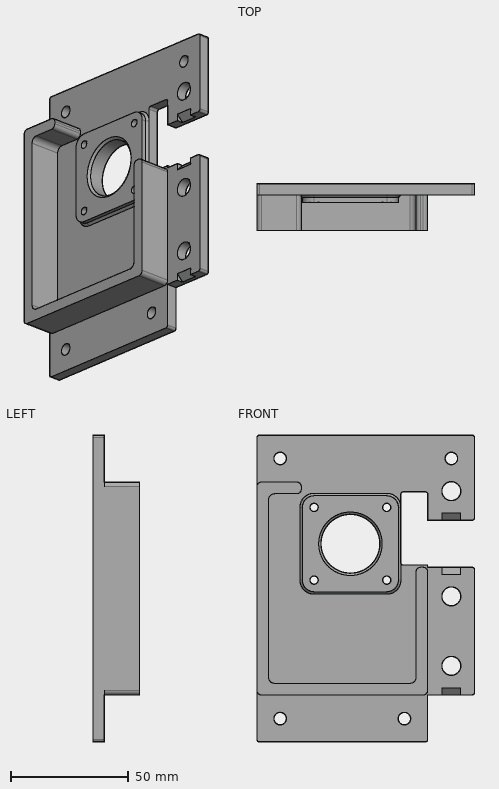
import cadquery as cq

PLATE_HEIGHT = 131.0
PLATE_WIDTH = 93.0
BODY_WIDTH = 73.0
PLATE_THICKNESS = 5.0
OUTER_RADIUS = 1.0
MOUNT_INSET = 10.0
MOUNT_DIAMETER = 5.2

MOTOR_X = 40.0
MOTOR_Z = 84.6
PAD_SIZE = 41.0
PAD_HEIGHT = 3.0
PAD_RADIUS = 5.0
FOOT_FLARE = 1.0
BORE_DIAMETER = 25.0
BORE_CHAMFER = 1.0
SCREW_SPACING = 31.0
SCREW_DIAMETER = 3.4

WALL_HEIGHT = 15.0
WALL_THICKNESS = 5.0
WALL_INSET = 20.0
WALL_RADIUS = 2.0
POCKET_RADIUS = 2.6
TOP_WALL_LENGTH = 19.0

SLOT_HEIGHT = 20.0
WINDOW_BOTTOM = 75.6
WINDOW_TOP = 106.8

EAR_HOLE_DIAMETER = 8.0
EAR_HOLE_EDGE = 12.5
BEVEL_LENGTH = 3.0

FOOT_SIZE = PAD_SIZE + 2 * FOOT_FLARE
WINDOW_LEFT = MOTOR_X + FOOT_SIZE / 2
PLATE_FRONT = -PLATE_THICKNESS
SLOT_BOTTOM = MOTOR_Z - SLOT_HEIGHT / 2
SLOT_TOP = MOTOR_Z + SLOT_HEIGHT / 2
WALL_BOTTOM = WALL_INSET
WALL_TOP = PLATE_HEIGHT - WALL_INSET
EAR_BOTTOM = WALL_BOTTOM
EAR_HOLE_X = PLATE_WIDTH - MOUNT_INSET
RIGHT_WALL_TOP = SLOT_BOTTOM


def front_plane(y=0.0):
    """Sketch plane at depth y; local axes are X and Z, extrusion goes to -Y."""
    return cq.Workplane("XZ", origin=(0, y, 0))


def holes(points, diameter):
    """Cutters through the plate and pad at (x, z) points."""
    return front_plane().pushPoints(points).circle(diameter / 2).extrude(PLATE_THICKNESS + PAD_HEIGHT)


def round_corners(solid, points, radius):
    """Round the Y-direction edges that stand at the given (x, z) points."""
    tolerance = 0.01
    for x, z in points:
        selector = cq.selectors.BoxSelector(
            (x - tolerance, -PLATE_HEIGHT, z - tolerance),
            (x + tolerance, PLATE_HEIGHT, z + tolerance),
        )
        solid = solid.edges("|Y").edges(selector).fillet(radius)
    return solid


def make_plate():
    outline = [
        (0, 0),
        (BODY_WIDTH, 0),
        (BODY_WIDTH, EAR_BOTTOM),
        (PLATE_WIDTH, EAR_BOTTOM),
        (PLATE_WIDTH, SLOT_BOTTOM),
        (BODY_WIDTH, SLOT_BOTTOM),
        (BODY_WIDTH, WINDOW_BOTTOM),
        (WINDOW_LEFT, WINDOW_BOTTOM),
        (WINDOW_LEFT, WINDOW_TOP),
        (BODY_WIDTH, WINDOW_TOP),
        (BODY_WIDTH, SLOT_TOP),
        (PLATE_WIDTH, SLOT_TOP),
        (PLATE_WIDTH, PLATE_HEIGHT),
        (0, PLATE_HEIGHT),
    ]
    sharp = [
        (BODY_WIDTH, EAR_BOTTOM),
        (BODY_WIDTH, SLOT_BOTTOM),
        (BODY_WIDTH, WINDOW_BOTTOM),
        (BODY_WIDTH, SLOT_TOP),
    ]
    plate = front_plane().polyline(outline).close().extrude(PLATE_THICKNESS)
    return round_corners(plate, [p for p in outline if p not in sharp], OUTER_RADIUS)


def make_wall():
    inner_left = WALL_THICKNESS
    inner_right = BODY_WIDTH - WALL_THICKNESS
    inner_bottom = WALL_BOTTOM + WALL_THICKNESS
    inner_top = WALL_TOP - WALL_THICKNESS
    pocket_corners = [
        (inner_right, inner_bottom),
        (inner_left, inner_bottom),
        (inner_left, inner_top),
    ]
    outer_corners = [
        (TOP_WALL_LENGTH, inner_top),
        (TOP_WALL_LENGTH, WALL_TOP),
        (0, WALL_TOP),
        (0, WALL_BOTTOM),
        (BODY_WIDTH, WALL_BOTTOM),
        (BODY_WIDTH, RIGHT_WALL_TOP),
        (inner_right, RIGHT_WALL_TOP),
    ]
    wall = front_plane(PLATE_FRONT).polyline(pocket_corners + outer_corners).close().extrude(WALL_HEIGHT)
    wall = round_corners(wall, pocket_corners, POCKET_RADIUS)
    return round_corners(wall, outer_corners, WALL_RADIUS)


def make_pad():
    foot_outline = cq.Sketch().rect(FOOT_SIZE, FOOT_SIZE).vertices().fillet(PAD_RADIUS + FOOT_FLARE)
    pad_outline = cq.Sketch().rect(PAD_SIZE, PAD_SIZE).vertices().fillet(PAD_RADIUS)
    base = front_plane(PLATE_FRONT).center(MOTOR_X, MOTOR_Z)
    foot = base.placeSketch(foot_outline).extrude(FOOT_FLARE, taper=45)
    pad = base.placeSketch(pad_outline).extrude(PAD_HEIGHT)
    return pad.union(foot)


def make_bore():
    pad_front = PLATE_FRONT - PAD_HEIGHT
    radius = BORE_DIAMETER / 2
    mouth = radius + BORE_CHAMFER
    section = [(0, 0), (radius, 0), (radius, pad_front + BORE_CHAMFER), (mouth, pad_front), (0, pad_front)]
    profile = cq.Workplane("XY", origin=(MOTOR_X, 0, MOTOR_Z)).polyline(section).close()
    return profile.revolve(360, (0, 0), (0, 1))


def make_bevel(edge_z, inward):
    """45-degree cut at the front of an ear edge; inward is the Z direction into the ear."""
    triangle = [
        (PLATE_FRONT, edge_z),
        (PLATE_FRONT, edge_z + inward * BEVEL_LENGTH),
        (PLATE_FRONT + BEVEL_LENGTH, edge_z),
    ]
    left = EAR_HOLE_X - EAR_HOLE_DIAMETER / 2
    return cq.Workplane("YZ", origin=(left, 0, 0)).polyline(triangle).close().extrude(EAR_HOLE_DIAMETER)


mount_points = [
    (MOUNT_INSET, MOUNT_INSET),
    (BODY_WIDTH - MOUNT_INSET, MOUNT_INSET),
    (MOUNT_INSET, PLATE_HEIGHT - MOUNT_INSET),
    (PLATE_WIDTH - MOUNT_INSET, PLATE_HEIGHT - MOUNT_INSET),
]
screw_points = [
    (MOTOR_X + side * SCREW_SPACING / 2, MOTOR_Z + level * SCREW_SPACING / 2)
    for side in (-1, 1)
    for level in (-1, 1)
]
ear_edges = [(EAR_BOTTOM, 1), (SLOT_BOTTOM, -1), (SLOT_TOP, 1)]

result = make_plate().union(make_wall()).union(make_pad())
result = result.cut(make_bore())
result = result.cut(holes(mount_points, MOUNT_DIAMETER))
result = result.cut(holes(screw_points, SCREW_DIAMETER))
for edge_z, inward in ear_edges:
    hole_z = edge_z + inward * EAR_HOLE_EDGE
    result = result.cut(holes([(EAR_HOLE_X, hole_z)], EAR_HOLE_DIAMETER))
    result = result.cut(make_bevel(edge_z, inward))